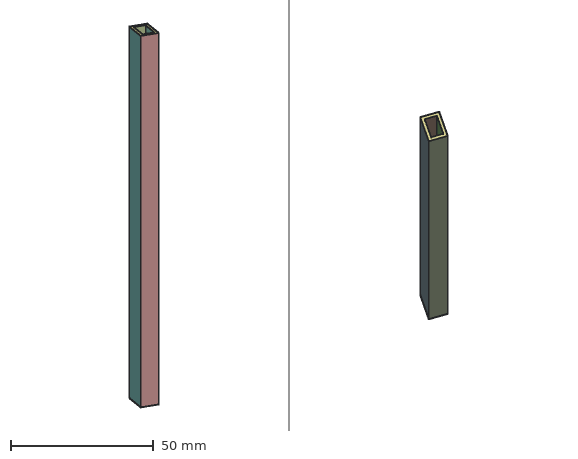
import cadquery as cq

width = 10.0
depth = 7.0
length = 140.0
wall = 1.3

outer_bar = cq.Workplane("XY").rect(width, depth).extrude(length)
bore = cq.Workplane("XY").rect(width - 2 * wall, depth - 2 * wall).extrude(length)

result = outer_bar.cut(bore)